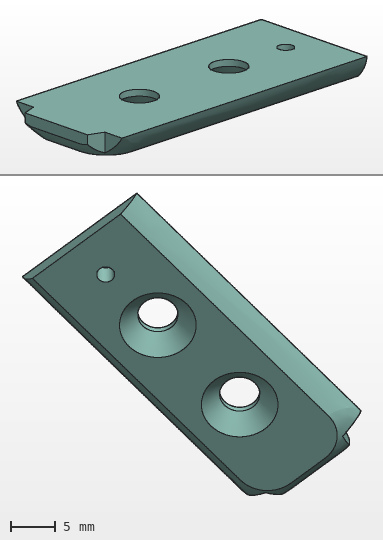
import cadquery as cq
import math

width = 17.0
thickness = 3.0
back_y = 20.5
back_rake = 0.55
nose_y = -20.5
virtual_nose_y = -21.1

flank_sections = (
    (0, 0, 3.05),
    (1.65, 0.78, 4.22),
    (thickness, 1.95, 4.0),
)

shoulder_y = -18.5
tongue_root_width = 11.5
tongue_tip_width = 10.05

pin_diameter = 2.0
pin_y = 15.5
screw_diameter = 4.5
screw_straight_depth = 0.8
countersink_diameter = 8.6
screw_positions = (6.55, -7.45)

margin = 4.1


def make_section(depth, inset, corner_radius):
    """Horizontal outline wire at a depth: straight at the back, rounded at the front."""
    half = width / 2 - inset
    rear = back_y + margin
    front = virtual_nose_y + inset
    diagonal = corner_radius * (1 - math.sqrt(0.5))
    return (
        cq.Workplane("XY", origin=(0, 0, -depth))
        .moveTo(half, rear)
        .lineTo(-half, rear)
        .lineTo(-half, front + corner_radius)
        .threePointArc((-half + diagonal, front + diagonal), (-half + corner_radius, front))
        .lineTo(half - corner_radius, front)
        .threePointArc((half - diagonal, front + diagonal), (half, front + corner_radius))
        .close()
        .val()
    )


def make_body():
    """Blend the outlines into convex flanks, then rake the back face."""
    wires = [make_section(*section) for section in flank_sections]
    body = cq.Workplane(cq.Solid.makeLoft(wires))
    rake_limit = (
        cq.Workplane("YZ")
        .moveTo(virtual_nose_y, 0)
        .lineTo(back_y - back_rake, 0)
        .lineTo(back_y, -thickness)
        .lineTo(virtual_nose_y, -thickness)
        .close()
        .extrude(width, both=True)
    )
    return body.intersect(rake_limit)


def make_tongue_limit():
    """Full-height outline that leaves the tapered tongue between two shoulders."""
    reach = width / 2 + margin
    root = tongue_root_width / 2
    tip = tongue_tip_width / 2
    outline = [
        (-reach, back_y + margin),
        (-reach, shoulder_y),
        (-root, shoulder_y),
        (-tip, nose_y),
        (tip, nose_y),
        (root, shoulder_y),
        (reach, shoulder_y),
        (reach, back_y + margin),
    ]
    return cq.Workplane("XY").polyline(outline).close().extrude(-thickness)


def make_hole(y, diameter):
    return cq.Workplane("XY").center(0, y).circle(diameter / 2).extrude(-thickness)


def make_screw_hole(y):
    """Straight bore at the top that opens into a countersink towards the bottom."""
    cone = cq.Solid.makeCone(
        countersink_diameter / 2,
        screw_diameter / 2,
        thickness - screw_straight_depth,
        pnt=cq.Vector(0, y, -thickness),
    )
    return make_hole(y, screw_diameter).union(cq.Workplane(cone))


result = make_body().intersect(make_tongue_limit())
result = result.cut(make_hole(pin_y, pin_diameter))
for screw_y in screw_positions:
    result = result.cut(make_screw_hole(screw_y))